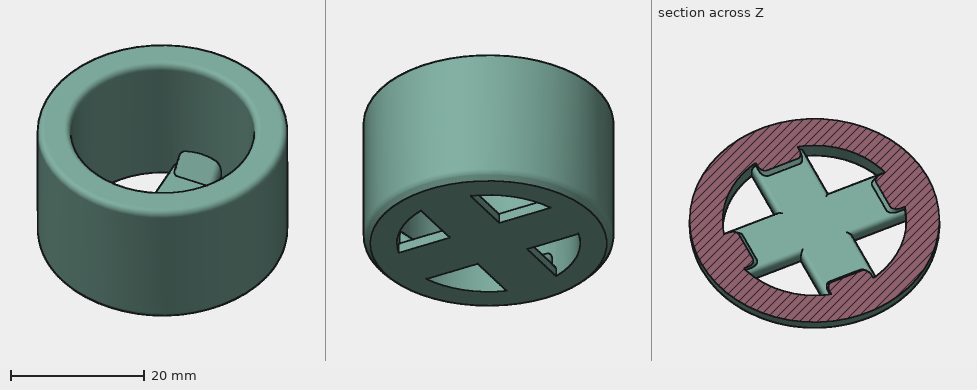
import cadquery as cq

outer_diameter = 37.5
bore_diameter = 27.5
height = 22.0
edge_radius = 1.0
foot_chamfer = 1.0

gusset_width = 7.0
arm_edge_radius = 0.75
arm_width = gusset_width + 2 * arm_edge_radius
floor_thickness = 2.0

gusset_toe = 10.72
wall_overlap = 1.28

bore_radius = bore_diameter / 2
reach = bore_radius + wall_overlap
gusset_run = reach - gusset_toe


def make_ring():
    ring = cq.Workplane("XY").circle(outer_diameter / 2).extrude(height)
    ring = ring.faces("<Z").edges().chamfer(foot_chamfer)
    ring = ring.faces("%CONE").edges(">Z").fillet(edge_radius)
    ring = ring.faces(">Z").workplane().hole(bore_diameter)
    return ring.faces(">Z").edges().fillet(edge_radius)


def make_cross():
    """Two crossing arms with rounded upper edges, ending inside the ring wall."""
    arm_x = cq.Workplane("XY").box(outer_diameter, arm_width, floor_thickness, centered=(True, True, False))
    arm_y = arm_x.rotate((0, 0, 0), (0, 0, 1), 90)
    cross = arm_x.union(arm_y)
    long_edges = cross.faces(">Z").edges("not(<X or >X or <Y or >Y)")
    cross = long_edges.fillet(arm_edge_radius)
    trim = cq.Workplane("XY").circle(reach).extrude(floor_thickness)
    return cross.intersect(trim)


def make_gusset():
    """Sloped block on the +X arm, rounded along both sides of the slope."""
    gusset = (
        cq.Workplane("XZ")
        .moveTo(gusset_toe - floor_thickness, 0)
        .lineTo(reach, 0)
        .lineTo(reach, floor_thickness + gusset_run)
        .close()
        .extrude(gusset_width / 2, both=True)
    )
    gusset = gusset.edges("not(|X or |Y or |Z)").fillet(edge_radius)
    trim = cq.Workplane("XY").circle(reach).extrude(height)
    return gusset.intersect(trim)


result = make_ring().union(make_cross())
gusset = make_gusset()
for quarter in range(4):
    result = result.union(gusset.rotate((0, 0, 0), (0, 0, 1), 90 * quarter))